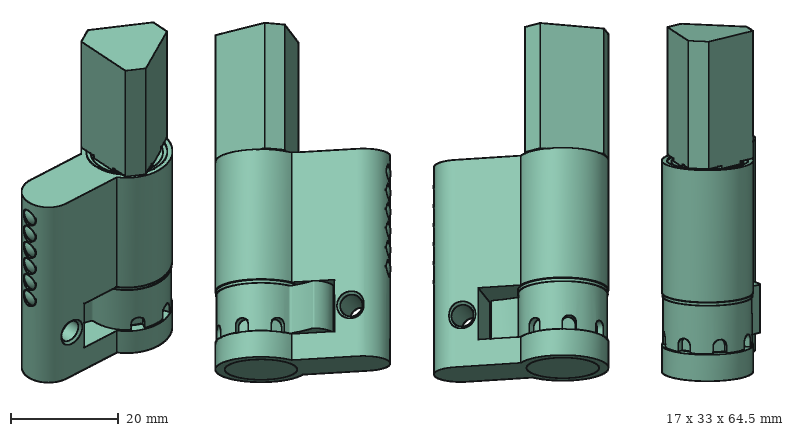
import cadquery as cq
import math


barrel_radius = 16.95 / 2
foot_width = 10.0
foot_radius = foot_width / 2
foot_bottom_y = -24.4
foot_arc_y = foot_bottom_y + foot_radius
housing_height = 40.05
bore_diameter = 13.5
recess_diameter = 15.0
recess_depth = 0.25
recess_floor_z = housing_height - recess_depth

cam_slot_bottom_z = 5.0
cam_slot_top_z = 15.0
cam_slot_end_y = -14.95

screw_hole_radius = 4.2 / 2
screw_hole_y = -18.05
screw_hole_z = 10.0
screw_hole_chamfer = 0.5

core_diameter = 13.4

stem_diameter = 12.7
knob_gap = 0.25
knob_bottom_z = housing_height + knob_gap
knob_top_z = 64.5
knob_inradius = 5.8
knob_corner_distance = 8.25

cam_clearance = 0.1
cam_bottom_z = cam_slot_bottom_z + cam_clearance
cam_top_z = 14.3
collar_top_z = cam_slot_top_z - cam_clearance
cam_radius = 8.25
collar_radius = 8.4

arm_angle = 250.4
arm_neck_distance = 7.9
arm_neck_half_width = 2.5
arm_corner_distance = 13.5
arm_corner_half_width = 3.3
arm_end_distance = 15.0
arm_flank_sag = 0.2
arm_root_fillet = 0.5
arm_corner_fillet = 0.3

notch_width = 2.6
notch_height = 2.65
notch_depth = 1.4
notch_count = 6
notch_first_angle = 333.0
notch_pitch = 48.3

plug_radius = 3.3 / 2
plug_dome_height = 0.65
plug_tip_y = -24.54
plug_length = 5.15
plug_count = 6
plug_first_z = 18.05
plug_pitch = 3.7
plug_inner_y = plug_tip_y + plug_length
plug_heights = [plug_first_z + i * plug_pitch for i in range(plug_count)]


def cylinder(radius, bottom_z, top_z):
    """Solid round bar on the barrel axis."""
    return cq.Workplane("XY", origin=(0, 0, bottom_z)).circle(radius).extrude(top_z - bottom_z)


def make_housing():
    foot = (
        cq.Workplane("XY")
        .moveTo(-foot_radius, 0)
        .lineTo(-foot_radius, foot_arc_y)
        .threePointArc((0, foot_bottom_y), (foot_radius, foot_arc_y))
        .lineTo(foot_radius, 0)
        .close()
        .extrude(housing_height)
    )
    body = cylinder(barrel_radius, 0, housing_height).union(foot)
    body = body.cut(make_cam_slot())
    body = body.cut(cylinder(bore_diameter / 2, 0, housing_height))
    body = body.cut(cylinder(recess_diameter / 2, recess_floor_z, housing_height))
    body = body.cut(make_screw_hole())
    for z in plug_heights:
        body = body.cut(plug_cylinder(z, plug_length))
    return body


def make_cam_slot():
    return cq.Workplane("XY").box(
        2 * barrel_radius,
        barrel_radius - cam_slot_end_y,
        cam_slot_top_z - cam_slot_bottom_z,
        centered=(True, False, False),
    ).translate((0, cam_slot_end_y, cam_slot_bottom_z))


def make_screw_hole():
    """Straight hole along X, widened by a chamfer at both sides of the foot."""
    mouth_radius = screw_hole_radius + screw_hole_chamfer
    chamfer_start_x = foot_radius - screw_hole_chamfer
    return (
        cq.Workplane("XY")
        .polyline([
            (-foot_radius, 0),
            (-foot_radius, mouth_radius),
            (-chamfer_start_x, screw_hole_radius),
            (chamfer_start_x, screw_hole_radius),
            (foot_radius, mouth_radius),
            (foot_radius, 0),
        ])
        .close()
        .revolve(360, (0, 0, 0), (1, 0, 0))
        .translate((0, screw_hole_y, screw_hole_z))
    )


def make_core():
    return cylinder(core_diameter / 2, 0, recess_floor_z)


def make_knob():
    """Equilateral triangle with cut-off corners; its foot is trimmed to the round stem."""
    corner_half_width = (2 * knob_inradius - knob_corner_distance) * math.tan(math.radians(30))
    points = []
    for corner_angle in (90, 210, 330):
        along_x = math.cos(math.radians(corner_angle))
        along_y = math.sin(math.radians(corner_angle))
        for side in (-corner_half_width, corner_half_width):
            points.append((
                knob_corner_distance * along_x - side * along_y,
                knob_corner_distance * along_y + side * along_x,
            ))
    prism = (
        cq.Workplane("XY", origin=(0, 0, recess_floor_z))
        .polyline(points)
        .close()
        .extrude(knob_top_z - recess_floor_z)
    )
    head_space = cylinder(2 * knob_corner_distance, knob_bottom_z, knob_top_z)
    stem_space = cylinder(stem_diameter / 2, recess_floor_z, knob_bottom_z)
    return prism.intersect(head_space.union(stem_space))


def make_cam():
    ring = cylinder(cam_radius, cam_bottom_z, cam_top_z)
    cam = ring.union(make_cam_arm()).edges("|Z").edges("<X").fillet(arm_root_fillet)
    cam = cam.rotate((0, 0, 0), (0, 0, 1), arm_angle)
    cam = cam.union(cylinder(collar_radius, cam_top_z, collar_top_z))
    cam = cam.cut(cylinder(core_diameter / 2, cam_bottom_z, collar_top_z))
    for i in range(notch_count):
        cam = cam.cut(make_notch(notch_first_angle + i * notch_pitch))
    return cam


def make_cam_arm():
    """Arm pointing to +X, not yet turned to its working angle."""
    flank_x = (arm_neck_distance + arm_corner_distance) / 2
    flank_y = (arm_neck_half_width + arm_corner_half_width) / 2 - arm_flank_sag
    return (
        cq.Workplane("XY", origin=(0, 0, cam_bottom_z))
        .moveTo(0, arm_neck_half_width)
        .lineTo(arm_neck_distance, arm_neck_half_width)
        .threePointArc((flank_x, flank_y), (arm_corner_distance, arm_corner_half_width))
        .threePointArc((arm_end_distance, 0), (arm_corner_distance, -arm_corner_half_width))
        .threePointArc((flank_x, -flank_y), (arm_neck_distance, -arm_neck_half_width))
        .lineTo(0, -arm_neck_half_width)
        .close()
        .extrude(cam_top_z - cam_bottom_z)
        .edges("|Z")
        .edges(">X")
        .fillet(arm_corner_fillet)
    )


def make_notch(angle):
    straight_height = notch_height - notch_width / 2
    return (
        cq.Workplane("YZ", origin=(cam_radius - notch_depth, 0, cam_bottom_z))
        .moveTo(-notch_width / 2, 0)
        .lineTo(-notch_width / 2, straight_height)
        .threePointArc((0, notch_height), (notch_width / 2, straight_height))
        .lineTo(notch_width / 2, 0)
        .close()
        .extrude(2 * notch_depth)
        .rotate((0, 0, 0), (0, 0, 1), angle)
    )


def plug_cylinder(z, length):
    """Round bar running from the inner end of a plug towards -Y."""
    return cq.Workplane("XZ", origin=(0, plug_inner_y, z)).circle(plug_radius).extrude(length)


def make_plug(z):
    dome_radius = (plug_radius**2 + plug_dome_height**2) / (2 * plug_dome_height)
    dome = cq.Workplane("XY").sphere(dome_radius).translate((0, plug_tip_y + dome_radius, z))
    shank = plug_cylinder(z, plug_length - plug_dome_height)
    tip = plug_cylinder(z, plug_length).cut(shank).intersect(dome)
    return shank.union(tip)


housing = make_housing()
core = make_core()
knob = make_knob()
cam = make_cam()
plugs = [make_plug(z) for z in plug_heights]

result = cq.Compound.makeCompound(
    [housing.val(), core.val(), knob.val(), cam.val(), *[plug.val() for plug in plugs]]
)